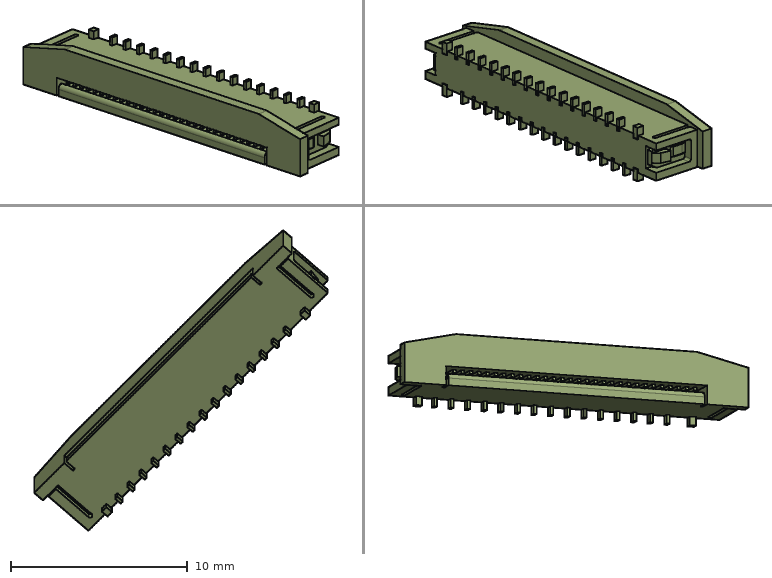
import cadquery as cq


plate_width = 20.7
plate_thickness = 0.68
plate_height = 3.0
plate_slope_length = 3.1

body_width = 19.91
body_height = 2.3
body_back = 3.83

opening_width = 15.7
opening_height = 1.1
bar_side_gap = 0.15
bar_height = 0.72
bar_radius = 0.3
cable_slot_front = 0.25
cable_slot_back = 1.65
cable_slot_floor = bar_height - bar_radius

arm_thickness = 0.62
arm_front_gap = 0.06
slot_width = 0.25
slot_end = 3.4
window_front = 1.2
window_bottom = 0.5
window_top = 1.86
window_radius = 0.15

tongue_outer_depth = 0.54
tongue_inner_depth = arm_thickness + slot_width
tongue_back = 3.68
tongue_top = 1.8
tongue_chamfer_length = 0.37
tongue_chamfer_height = 0.2

latch_bottom = 0.87
latch_top = 1.5
hook_front = 2.63
hook_crest = 3.3
hook_front_depth = 0.1
hook_crest_depth = 0.23
bump_back = 2.3
bump_crest_back = 2.13
bump_crest_front = 1.5
bump_crest_depth = 0.45
bump_front_depth = 0.52

contact_count = 30
contact_row_length = 14.5
contact_pitch = contact_row_length / (contact_count - 1)
contact_width = 0.19
contact_bottom = 0.8
contact_top = 1.0
contact_front = 0.25
contact_tip_slope = 0.05
lead_length = 0.5
lead_embed = 0.23
lead_depth = 0.43
lead_back = 3.9
anchor_width = 0.37
anchor_x = 8.24

body_end = body_width / 2
body_front = plate_thickness


def block(x_range, y_range, z_range):
    """Box filling the given X, Y and Z ranges."""
    size = [high - low for low, high in (x_range, y_range, z_range)]
    corner = (x_range[0], y_range[0], z_range[0])
    return cq.Workplane("XY").box(*size, centered=False).translate(corner)


def make_plate():
    """Slider plate with sloped top corners and the cable opening."""
    half = plate_width / 2
    outline = [
        (-half, 0),
        (half, 0),
        (half, body_height),
        (half - plate_slope_length, plate_height),
        (-half + plate_slope_length, plate_height),
        (-half, body_height),
    ]
    plate = cq.Workplane("XZ").polyline(outline).close().extrude(-plate_thickness)
    opening = block(
        (-opening_width / 2, opening_width / 2), (0, plate_thickness), (0, opening_height)
    )
    return plate.cut(opening)


def make_bar():
    """Bar closing the lower part of the opening, rounded along its front top edge."""
    half = opening_width / 2 - bar_side_gap
    bar = block((-half, half), (0, body_front), (0, bar_height))
    return bar.edges("|X and >Z and <Y").fillet(bar_radius)


def cable_slot():
    """Cavity running back from behind the bar's rounded edge into the housing."""
    half = opening_width / 2
    return block(
        (-half, half), (cable_slot_front, cable_slot_back), (cable_slot_floor, opening_height)
    )


def make_contact(x):
    """Contact finger standing out of the back of the cable slot, with its tip leaning back at the top."""
    profile = [
        (cable_slot_back, contact_bottom),
        (contact_front, contact_bottom),
        (contact_front + contact_tip_slope, contact_top),
        (cable_slot_back, contact_top),
    ]
    tip = cq.Workplane("YZ").polyline(profile).close().extrude(contact_width)
    return tip.translate((x - contact_width / 2, 0, 0))


def make_lead(x, width, on_top):
    """Solder lead at the back edge, rising from the top or dropping from the underside."""
    if on_top:
        z_range = (body_height - lead_embed, body_height + lead_length)
    else:
        z_range = (-lead_length, lead_embed)
    return block((x - width / 2, x + width / 2), (lead_back - lead_depth, lead_back), z_range)


def arm_cutters():
    """Window, slot and front gap that free the spring arm at the +X end."""
    arm_inside = body_end - arm_thickness
    window = block(
        (arm_inside - slot_width, body_end),
        (window_front, body_back),
        (window_bottom, window_top),
    )
    window = window.edges("|X and <Y").fillet(window_radius)

    slot_radius = slot_width / 2
    slot_centre = arm_inside - slot_radius
    slot = block(
        (arm_inside - slot_width, arm_inside),
        (body_front, slot_end - slot_radius),
        (0, body_height),
    )
    slot_round = cq.Workplane("XY").circle(slot_radius).extrude(body_height)
    slot_round = slot_round.translate((slot_centre, slot_end - slot_radius, 0))

    gap = block(
        (arm_inside, body_end), (body_front, body_front + arm_front_gap), (0, body_height)
    )
    return [window, slot, slot_round, gap]


def make_tongue():
    """Tongue at the +X end with its hook and bump."""
    outline = [
        (body_front, window_bottom),
        (tongue_back - tongue_chamfer_length, window_bottom),
        (tongue_back, window_bottom + tongue_chamfer_height),
        (tongue_back, tongue_top - tongue_chamfer_height),
        (tongue_back - tongue_chamfer_length, tongue_top),
        (body_front, tongue_top),
    ]
    tongue_width = tongue_inner_depth - tongue_outer_depth
    strip = cq.Workplane("YZ").polyline(outline).close().extrude(tongue_width)
    strip = strip.translate((body_end - tongue_inner_depth, 0, 0))

    hook = latch([
        (tongue_inner_depth, hook_front),
        (hook_front_depth, hook_front),
        (hook_crest_depth, hook_crest),
        (tongue_outer_depth, tongue_back),
        (tongue_inner_depth, tongue_back),
    ])
    bump = latch([
        (tongue_inner_depth, window_front),
        (bump_front_depth, window_front),
        (bump_crest_depth, bump_crest_front),
        (bump_crest_depth, bump_crest_back),
        (tongue_outer_depth, bump_back),
        (tongue_inner_depth, bump_back),
    ])
    return strip.union(hook).union(bump)


def latch(depth_profile):
    """Prism over the latch height from (depth inside the housing end, Y) points."""
    points = [(body_end - depth, y) for depth, y in depth_profile]
    prism = cq.Workplane("XY").polyline(points).close().extrude(latch_top - latch_bottom)
    return prism.translate((0, 0, latch_bottom))


body = block((-body_end, body_end), (body_front, body_back), (0, body_height))
for cutter in arm_cutters():
    body = body.cut(cutter).cut(cutter.mirror("YZ"))

tongue = make_tongue()
result = body.union(make_plate()).union(make_bar()).cut(cable_slot())
result = result.union(tongue).union(tongue.mirror("YZ"))

for index in range(contact_count):
    contact_x = (index - (contact_count - 1) / 2) * contact_pitch
    result = result.union(make_contact(contact_x))
    result = result.union(make_lead(contact_x, contact_width, index % 2 == 1))

for anchor_side in (-1, 1):
    for on_top in (False, True):
        result = result.union(make_lead(anchor_side * anchor_x, anchor_width, on_top))